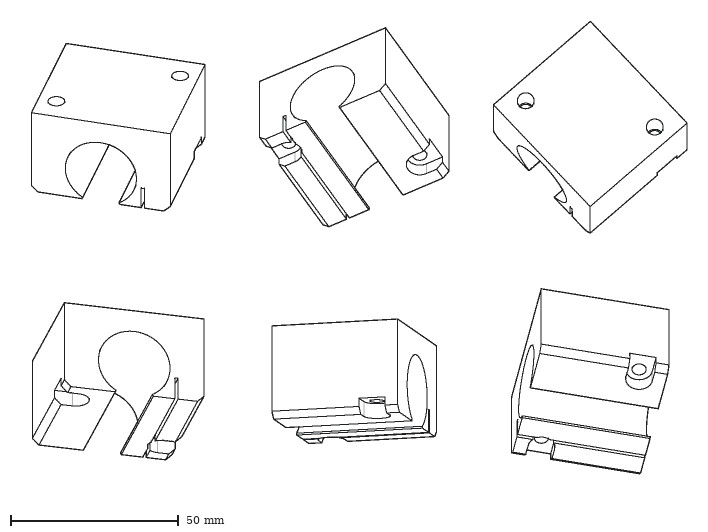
import cadquery as cq
import math

length = 43.0
width = 39.0
height = 28.0
edge_chamfer = 2.0

bore_radius = 11.0
bore_center_z = 10.0
lip_height = 0.5
lip_flare = 0.3

slit_width = 1.0
slit_depth = 7.0
slit_x = 13.0

hole_x = 15.95
hole_y = 11.52
hole_diameter = 4.2
upper_hole_diameter = 5.0
upper_hole_depth = 10.0
recess_diameter = 8.0
recess_height = 4.5


def make_block():
    block = cq.Workplane("XY").box(length, width, height, centered=(True, True, False))
    return block.faces("<Z").edges("|Y").chamfer(edge_chamfer)


def make_bore():
    """Round bore whose opening flares out towards the bottom face."""
    lip_x = math.sqrt(bore_radius**2 - (bore_center_z - lip_height) ** 2)
    mouth_x = lip_x + lip_flare
    return (
        cq.Workplane("XZ")
        .moveTo(-mouth_x, 0)
        .lineTo(-lip_x, lip_height)
        .threePointArc((0, bore_center_z + bore_radius), (lip_x, lip_height))
        .lineTo(mouth_x, 0)
        .close()
        .extrude(width / 2, both=True)
    )


def make_slit():
    slit = cq.Workplane("XY").box(slit_width, width, slit_depth, centered=(True, True, False))
    return slit.translate((slit_x, 0, 0))


def make_screw_hole(side):
    """Stepped hole with a round-ended recess open to the side wall; side is -1 or 1."""
    center = (side * hole_x, side * hole_y)
    through = cq.Workplane("XY").center(*center).circle(hole_diameter / 2).extrude(height)
    upper = (
        cq.Workplane("XY", origin=(0, 0, height - upper_hole_depth))
        .center(*center)
        .circle(upper_hole_diameter / 2)
        .extrude(upper_hole_depth)
    )
    round_end = cq.Workplane("XY").center(*center).circle(recess_diameter / 2).extrude(recess_height)
    side_run = length / 2 - hole_x
    side_opening = (
        cq.Workplane("XY")
        .center(side * (hole_x + side_run / 2), side * hole_y)
        .rect(side_run, recess_diameter)
        .extrude(recess_height)
    )
    return through.union(upper).union(round_end).union(side_opening)


result = make_block().cut(make_bore()).cut(make_slit())
for side in (-1, 1):
    result = result.cut(make_screw_hole(side))